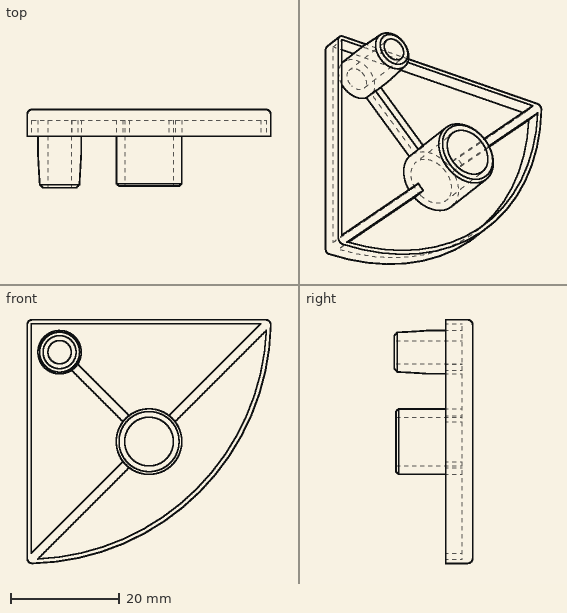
import cadquery as cq
import math

plate_radius = 45.0
plate_thickness = 5.0
corner_radius = 1.0
back_edge_round = 1.0
wall = 0.8
floor_thickness = 2.0
rib_width = 1.6

large_center = plate_radius / 2
large_radius = 6.05
large_bore_radius = 4.5
large_length = 9.2
large_chamfer = 0.5

small_center = 6.0
small_radius = 4.0
small_tip_radius = 3.65
small_bore_radius = 2.15
small_length = 9.5
small_straight_length = 3.5
small_chamfer = 0.6

rim_y = -plate_thickness
floor_y = -floor_thickness


def xz_plane(y):
    """Sketch plane at the given Y: local axes are X and Z, extrusion runs toward -Y."""
    return cq.Workplane("XZ", origin=(0, y, 0))


def quarter_disc(start_y, length, inset):
    """Quarter disc whose sides are all moved inward by the inset."""
    radius = plate_radius - inset
    far = math.sqrt(radius**2 - inset**2)
    middle = radius * math.sqrt(0.5)
    return (
        xz_plane(start_y)
        .moveTo(inset, -inset)
        .lineTo(far, -inset)
        .threePointArc((middle, -middle), (inset, -far))
        .close()
        .extrude(length)
    )


def plate_body():
    """Solid plate with rounded corners and a rounded back edge."""
    body = quarter_disc(0, plate_thickness, 0)
    body = body.edges("|Y").fillet(corner_radius)
    return body.faces(">Y").edges().fillet(back_edge_round)


def rib(start, end):
    """Rib between two XZ points, from the floor to the rim."""
    run = end[0] - start[0]
    rise = end[1] - start[1]
    return (
        xz_plane(floor_y)
        .center((start[0] + end[0]) / 2, (start[1] + end[1]) / 2)
        .transformed(rotate=(0, 0, math.degrees(math.atan2(rise, run))))
        .rect(math.hypot(run, rise), rib_width)
        .extrude(plate_thickness - floor_thickness)
    )


def cylinder(center, radius, start_y, end_y):
    """Cylinder along Y, centred equally far from both straight edges."""
    return xz_plane(start_y).center(center, -center).circle(radius).extrude(start_y - end_y)


def large_boss():
    """Straight boss with a chamfered end, before boring."""
    boss = cylinder(large_center, large_radius, floor_y, rim_y - large_length)
    return boss.faces("<Y").chamfer(large_chamfer)


def small_boss():
    """Boss with a straight base and a tapered, chamfered tip, before boring."""
    taper_y = rim_y - small_straight_length
    taper_length = small_length - small_straight_length
    base = cylinder(small_center, small_radius, floor_y, taper_y)
    tip = (
        xz_plane(taper_y)
        .center(small_center, -small_center)
        .circle(small_radius)
        .workplane(offset=taper_length)
        .circle(small_tip_radius)
        .loft()
        .faces("<Y")
        .chamfer(small_chamfer)
    )
    return base.union(tip)


pocket = quarter_disc(floor_y, plate_thickness - floor_thickness, wall)
long_rib = rib((0, -plate_radius), (plate_radius, 0))
short_rib = rib((small_center, -small_center), (large_center, -large_center))
ribs = long_rib.union(short_rib)

result = plate_body().cut(pocket.cut(ribs))
result = result.union(large_boss()).union(small_boss())
result = result.cut(cylinder(large_center, large_bore_radius, floor_y, rim_y - large_length))
result = result.cut(cylinder(small_center, small_bore_radius, floor_y, rim_y - small_length))